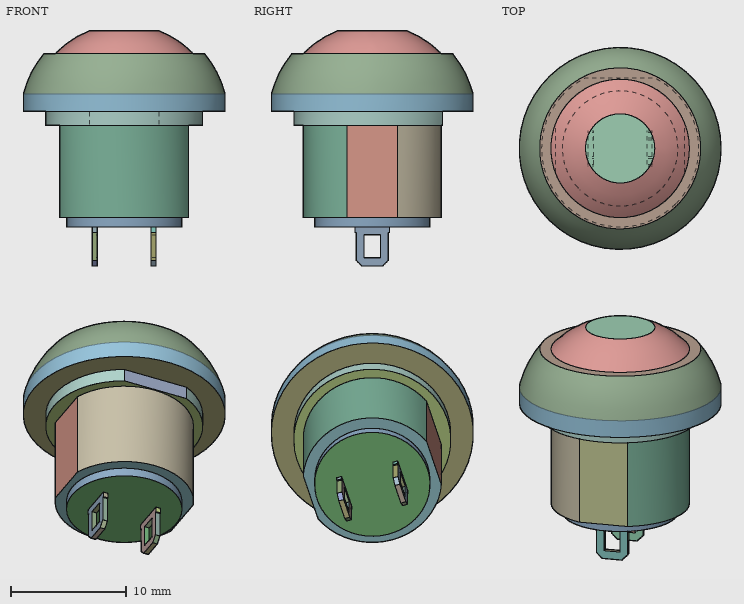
import cadquery as cq
import math

BUTTON_TOP = 7.0
BEZEL_TOP = 5.0
RIM_HEIGHT = 1.53
GASKET_BOTTOM = -1.2
BARREL_BOTTOM = -9.2
BASE_BOTTOM = -10.02
TERMINAL_SHOULDER = -10.5
OVERALL_HEIGHT = 20.4
TERMINAL_BOTTOM = BUTTON_TOP - OVERALL_HEIGHT

BUTTON_DIAMETER = 12.0
BUTTON_FLAT_DIAMETER = BUTTON_DIAMETER / 2
BEZEL_DIAMETER = 17.5
BEZEL_TOP_DIAMETER = 13.95
GASKET_DIAMETER = 13.6
GASKET_FLAT_OFFSET = 6.1
BARREL_DIAMETER = 12.0
BARREL_ACROSS_FLATS = 11.18
BASE_DIAMETER = 10.0

TERMINAL_PITCH = 5.08
TERMINAL_THICKNESS = 0.45
SHOULDER_WIDTH = 3.02
BLADE_WIDTH = 2.8
TIP_CHAMFER = 0.5
EYE_WIDTH = 1.43
EYE_TOP = -10.69
EYE_BOTTOM = -12.67


def sphere_point(radius_low, z_low, radius_high, z_high):
    """Midpoint in height on the axis-centred sphere through two profile points."""
    center_z = (radius_high**2 + z_high**2 - radius_low**2 - z_low**2) / (2 * (z_high - z_low))
    sphere_radius = math.hypot(radius_low, z_low - center_z)
    z_mid = (z_low + z_high) / 2
    return math.sqrt(sphere_radius**2 - (z_mid - center_z) ** 2), z_mid


def domed_disc(bottom_z, bottom_radius, arc_z, top_radius, top_z):
    """Disc with a straight rim up to arc_z, then a spherical side and a flat top."""
    profile = cq.Workplane("XZ").moveTo(0, bottom_z).lineTo(bottom_radius, bottom_z)
    if arc_z > bottom_z:
        profile = profile.lineTo(bottom_radius, arc_z)
    arc_middle = sphere_point(bottom_radius, arc_z, top_radius, top_z)
    profile = profile.threePointArc(arc_middle, (top_radius, top_z)).lineTo(0, top_z).close()
    return profile.revolve(360, (0, 0, 0), (0, 1, 0))


def disc(diameter, top_z, bottom_z):
    return cq.Workplane("XY").workplane(offset=bottom_z).circle(diameter / 2).extrude(top_z - bottom_z)


def make_button():
    return domed_disc(BEZEL_TOP, BUTTON_DIAMETER / 2, BEZEL_TOP, BUTTON_FLAT_DIAMETER / 2, BUTTON_TOP)


def make_bezel():
    return domed_disc(0, BEZEL_DIAMETER / 2, RIM_HEIGHT, BEZEL_TOP_DIAMETER / 2, BEZEL_TOP)


def make_gasket():
    """Sealing disc with one flat on its +Y side."""
    keep_depth = GASKET_DIAMETER / 2 + GASKET_FLAT_OFFSET
    keep = (
        cq.Workplane("XY")
        .workplane(offset=GASKET_BOTTOM)
        .center(0, GASKET_FLAT_OFFSET - keep_depth / 2)
        .rect(GASKET_DIAMETER, keep_depth)
        .extrude(-GASKET_BOTTOM)
    )
    return disc(GASKET_DIAMETER, 0, GASKET_BOTTOM).intersect(keep)


def make_barrel():
    """Cylinder with two opposite flats facing -X and +X."""
    keep = (
        cq.Workplane("XY")
        .workplane(offset=BARREL_BOTTOM)
        .rect(BARREL_ACROSS_FLATS, BARREL_DIAMETER)
        .extrude(GASKET_BOTTOM - BARREL_BOTTOM)
    )
    return disc(BARREL_DIAMETER, GASKET_BOTTOM, BARREL_BOTTOM).intersect(keep)


def make_base():
    return disc(BASE_DIAMETER, BARREL_BOTTOM, BASE_BOTTOM)


def plate(width, top_z, bottom_z):
    """Upright plate of terminal thickness, centred on the YZ plane."""
    height = top_z - bottom_z
    return cq.Workplane("XY").box(TERMINAL_THICKNESS, width, height).translate((0, 0, bottom_z + height / 2))


def make_terminal(x):
    """Solder lug with a wider shoulder, a rectangular eye and a chamfered tip."""
    blade = plate(BLADE_WIDTH, BASE_BOTTOM, TERMINAL_BOTTOM)
    blade = blade.faces("<Z").edges("|X").chamfer(TIP_CHAMFER)
    shoulder = plate(SHOULDER_WIDTH, BASE_BOTTOM, TERMINAL_SHOULDER)
    eye = plate(EYE_WIDTH, EYE_TOP, EYE_BOTTOM)
    return blade.union(shoulder).cut(eye).translate((x, 0, 0))


button = make_button()
bezel = make_bezel()
gasket = make_gasket()
barrel = make_barrel()
base = make_base()
terminals = [make_terminal(side * TERMINAL_PITCH / 2) for side in (-1, 1)]

result = cq.Compound.makeCompound(
    [
        button.val(),
        bezel.val(),
        gasket.val(),
        barrel.val(),
        base.val(),
        *[terminal.val() for terminal in terminals],
    ]
)